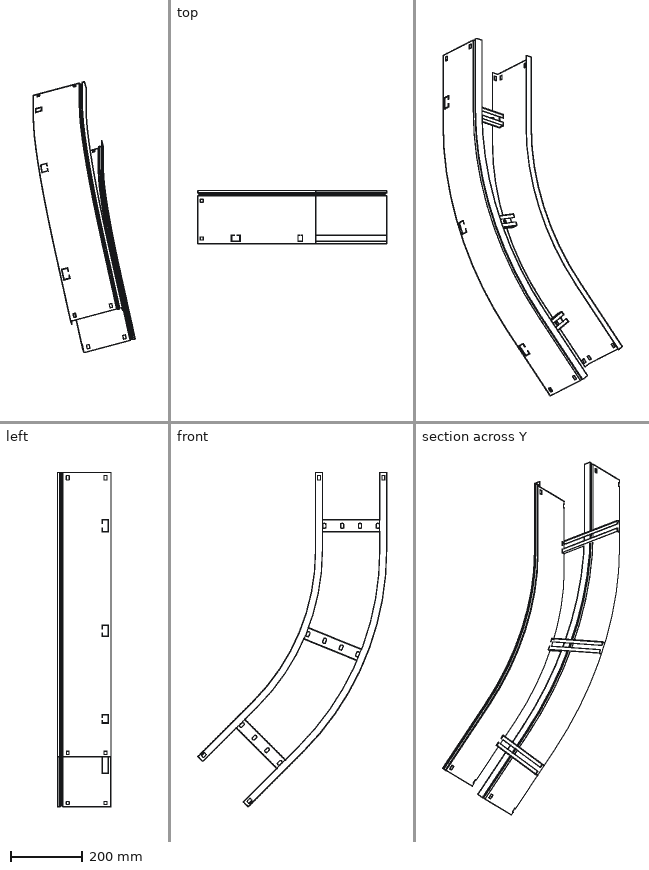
import cadquery as cq
import math


bend_angle = 45.0
tray_width = 200.0
rail_height = 150.0
inner_rail_radius = 596.3
outer_rail_radius = inner_rail_radius + tray_width
straight_length = 219.45
front_y = -rail_height / 2
back_y = rail_height / 2

sheet = 1.5
flange_width = 20.0
corner_radius = 1.8
groove_depth = 4.5
groove_mouth_back_y = 68.0
groove_mouth_front_y = 60.0
groove_slope_run = 2.5

slot_width = 7.5
slot_length = 12.0
slot_from_end = 15.0
web_slot_ys = (46.0, -59.5)
flange_slot_from_web = 10.0

rung_width = 35.0
rung_depth = 18.5
rung_front_y = -68.0
rung_sheet = 1.5
rung_lip = 11.0
rung_from_end = 150.0
middle_rung_angle = 22.1
rung_slot_pitch = 50.0
rung_slot_count = 4
rung_slot_width = 8.0
rung_slot_length = 15.0


def rail_section(radius, inward):
    """Channel with a beaded web, outer web face at the given radius; inward is +1 or -1 in X."""
    def at(depth, y):
        return (radius + inward * depth, y)

    arc_mid = corner_radius * (1 - math.sqrt(0.5))
    inner_radius = corner_radius - sheet
    inner_mid = sheet + inner_radius * (1 - math.sqrt(0.5))
    inner_floor = groove_depth + sheet
    slope_length = math.hypot(groove_slope_run, groove_depth)
    wall_shift = sheet * (slope_length - groove_slope_run) / groove_depth

    return (
        cq.Workplane("XY")
        .moveTo(*at(flange_width, front_y))
        .lineTo(*at(corner_radius, front_y))
        .threePointArc(at(arc_mid, front_y + arc_mid), at(0, front_y + corner_radius))
        .lineTo(*at(0, groove_mouth_front_y))
        .lineTo(*at(groove_depth, groove_mouth_front_y + groove_slope_run))
        .lineTo(*at(groove_depth, groove_mouth_back_y - groove_slope_run))
        .lineTo(*at(0, groove_mouth_back_y))
        .lineTo(*at(0, back_y - corner_radius))
        .threePointArc(at(arc_mid, back_y - arc_mid), at(corner_radius, back_y))
        .lineTo(*at(flange_width, back_y))
        .lineTo(*at(flange_width, back_y - sheet))
        .lineTo(*at(corner_radius, back_y - sheet))
        .threePointArc(at(inner_mid, back_y - inner_mid), at(sheet, back_y - corner_radius))
        .lineTo(*at(sheet, groove_mouth_back_y + wall_shift))
        .lineTo(*at(inner_floor, groove_mouth_back_y - groove_slope_run + wall_shift))
        .lineTo(*at(inner_floor, groove_mouth_front_y + groove_slope_run - wall_shift))
        .lineTo(*at(sheet, groove_mouth_front_y - wall_shift))
        .lineTo(*at(sheet, front_y + corner_radius))
        .threePointArc(at(inner_mid, front_y + inner_mid), at(corner_radius, front_y + sheet))
        .lineTo(*at(flange_width, front_y + sheet))
        .close()
    )


def turned(shape):
    """Carry a shape from the start of the bend round to its far end."""
    return shape.rotate((0, 0, 0), (0, 1, 0), bend_angle)


def at_both_ends(upper):
    """A shape on the upper straight, and its mirror image on the lower straight."""
    return [upper, turned(upper.mirror("XY"))]


def web_slot_cutter(radius, y):
    """Rectangular cutter through the web near the end of the upper straight."""
    return (
        cq.Workplane("YZ", origin=(radius, y, straight_length - slot_from_end))
        .rect(slot_width, slot_length)
        .extrude(2 * sheet, both=True)
    )


def flange_slot_cutter(radius, inward):
    """Rectangular cutter through the front flange near the end of the upper straight."""
    centre_x = radius + inward * flange_slot_from_web
    return (
        cq.Workplane("XZ", origin=(centre_x, front_y, straight_length - slot_from_end))
        .rect(slot_width, slot_length)
        .extrude(2 * sheet, both=True)
    )


def rung_bar(length):
    """Lipped C channel across the tray at Z = 0, open towards +Y, with a row of slots in its face."""
    centre_y = rung_front_y + rung_depth / 2
    centre_x = inner_rail_radius + tray_width / 2
    bar = cq.Workplane("XY").box(length, rung_depth, rung_width)
    hollow = cq.Workplane("XY").box(length, rung_depth - 2 * rung_sheet, rung_width - 2 * rung_sheet)
    mouth = (
        cq.Workplane("XY")
        .box(length, rung_depth, rung_width - 2 * rung_lip)
        .translate((0, rung_depth / 2, 0))
    )
    slots = (
        cq.Workplane("XZ")
        .rarray(rung_slot_pitch, 1, rung_slot_count, 1)
        .slot2D(rung_slot_length, rung_slot_width, 90)
        .extrude(rung_depth)
    )
    return bar.cut(hollow).cut(mouth).cut(slots).translate((centre_x, centre_y, 0))


def rail(radius, inward, end_rungs):
    """Side rail: two straights joined by the bend, with end slots and openings for the end rungs."""
    straight = rail_section(radius, inward).extrude(straight_length)
    bend = rail_section(radius, inward).revolve(bend_angle, (0, 0, 0), (0, 1, 0))
    upper, lower = at_both_ends(straight)
    body = upper.union(bend).union(lower)
    slots = [web_slot_cutter(radius, y) for y in web_slot_ys]
    slots.append(flange_slot_cutter(radius, inward))
    for slot in slots:
        for cutter in at_both_ends(slot):
            body = body.cut(cutter)
    for rung in end_rungs:
        body = body.cut(rung)
    return body


end_rungs = at_both_ends(rung_bar(tray_width).translate((0, 0, straight_length - rung_from_end)))

inner_rail = rail(inner_rail_radius, 1, end_rungs)
outer_rail = rail(outer_rail_radius, -1, end_rungs)

middle_rung = rung_bar(tray_width - sheet).rotate((0, 0, 0), (0, 1, 0), middle_rung_angle)
middle_rung = middle_rung.cut(inner_rail).cut(outer_rail)

rungs = [*end_rungs, middle_rung]
result = cq.Compound.makeCompound([inner_rail.val(), outer_rail.val(), *[rung.val() for rung in rungs]])